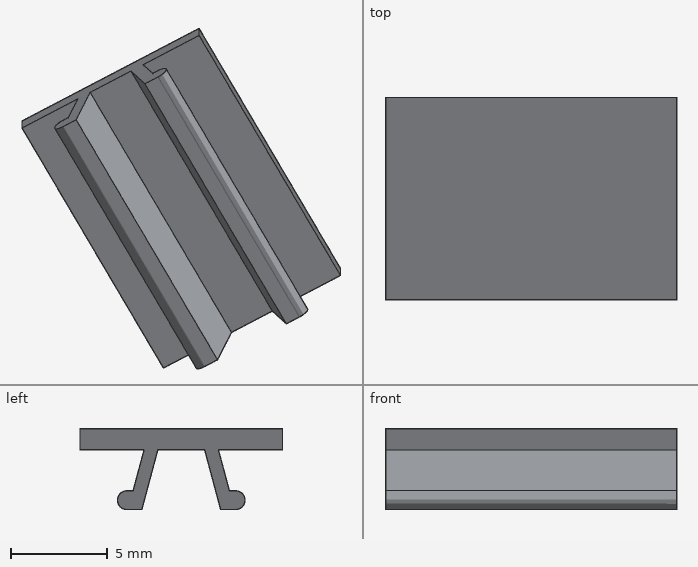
import cadquery as cq
import math

length = 15.1
width = 10.5
height = 4.2

plate_thickness = 1.1
leg_inner_offset = 1.21
leg_width = 0.72
leg_angle = 15.0
foot_height = 0.98
foot_reach = 3.3

leg_drop = height - plate_thickness
foot_radius = foot_height / 2
lean = math.tan(math.radians(leg_angle))


def make_plate():
    """Flat plate with its top face at Z = height."""
    plate = cq.Workplane("XY").box(length, width, plate_thickness, centered=(True, True, False))
    return plate.translate((0, 0, leg_drop))


def make_leg():
    """Leg on the +Y side, leaning outward to a foot with a half-round toe."""
    leg_outer_offset = leg_inner_offset + leg_width
    inner_bottom = leg_inner_offset + leg_drop * lean
    outer_at_foot = leg_outer_offset + (leg_drop - foot_height) * lean
    toe_center = foot_reach - foot_radius
    return (
        cq.Workplane("YZ")
        .moveTo(leg_inner_offset, leg_drop)
        .lineTo(inner_bottom, 0)
        .lineTo(toe_center, 0)
        .threePointArc((foot_reach, foot_radius), (toe_center, foot_height))
        .lineTo(outer_at_foot, foot_height)
        .lineTo(leg_outer_offset, leg_drop)
        .close()
        .extrude(length / 2, both=True)
    )


leg = make_leg()
result = make_plate().union(leg).union(leg.mirror("XZ"))